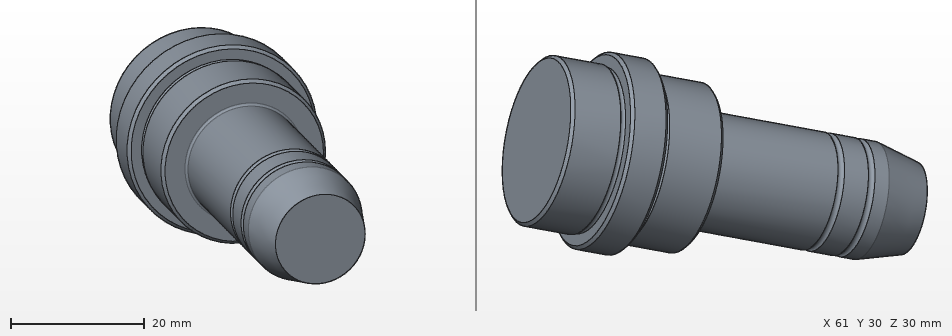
import cadquery as cq
import math

total_length = 61.0
head_diameter = 26.0
head_length = 25.0
flange_diameter = 30.0
flange_start = 8.9
flange_end = 15.0
shaft_diameter = 18.0
edge_chamfer = 0.5
root_fillet = 0.35

taper_length = 7.15
taper_angle = 15.0

groove_radius = 0.55
groove_depth = 0.4
shaft_groove_centers = (46.0, 51.0)
head_groove_centers = (8.55, 15.5)


def cylinder(diameter, start, end):
    """Solid cylinder along X between two positions."""
    return cq.Workplane("YZ", origin=(start, 0, 0)).circle(diameter / 2).extrude(end - start)


def ring_cutter(surface_diameter, center):
    """Round ring that cuts a groove of the set depth into a cylinder at the given X position."""
    ring_radius = surface_diameter / 2 - groove_depth + groove_radius
    return (
        cq.Workplane("XY")
        .center(center, ring_radius)
        .circle(groove_radius)
        .revolve(360, (-center, -ring_radius), (0.6 - center, -ring_radius))
    )


def make_head():
    """Head cylinder with chamfered ends, relief grooves and a chamfered flange."""
    head = cylinder(head_diameter, 0, head_length).edges().chamfer(edge_chamfer)
    for center in head_groove_centers:
        head = head.cut(ring_cutter(head_diameter, center))
    flange = cylinder(flange_diameter, flange_start, flange_end).edges().chamfer(edge_chamfer)
    return head.union(flange)


def make_shaft():
    """Shaft profile with a concave root fillet and a tapered tip, revolved about X."""
    radius = shaft_diameter / 2
    tip_radius = radius - taper_length * math.tan(math.radians(taper_angle))
    arc_inset = root_fillet * (1 - math.sqrt(0.5))
    shaft = (
        cq.Workplane("XY")
        .moveTo(head_length, 0)
        .lineTo(head_length, radius + root_fillet)
        .threePointArc(
            (head_length + arc_inset, radius + arc_inset),
            (head_length + root_fillet, radius),
        )
        .lineTo(total_length - taper_length, radius)
        .lineTo(total_length, tip_radius)
        .lineTo(total_length, 0)
        .close()
        .revolve(360, (0, 0), (1, 0))
    )
    for center in shaft_groove_centers:
        shaft = shaft.cut(ring_cutter(shaft_diameter, center))
    return shaft


result = make_head().union(make_shaft())